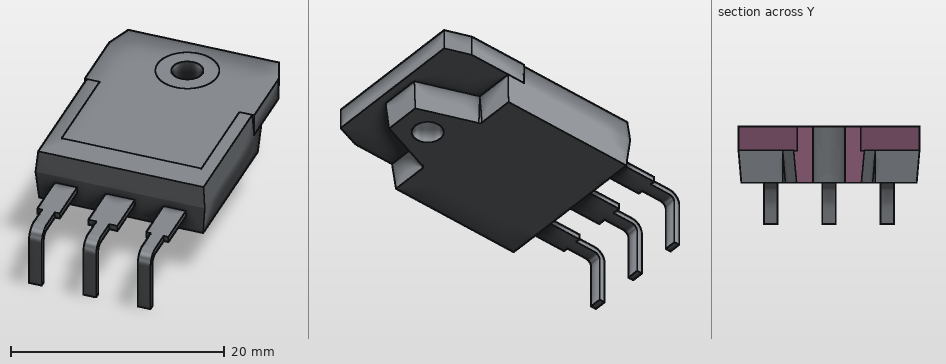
import cadquery as cq
import math


width = 17.0
tab_back = 22.0
tab_thickness = 2.25
corner_x = 0.93
corner_y = 2.6
tongue_half_width = 7.02
tongue_front = 3.0
shoulder_y = 13.0

hole_diameter = 3.0
sleeve_diameter = 6.0
hole_y = tab_back - 4.32

draft_angle = 5.0
base_depth = 3.05
base_back = 21.05
nose_root_half_width = 4.35
nose_back_half_width = 2.1
base_shoulder_y = 14.95

overall_height = 9.18
overall_length = 30.0
lead_pitch = 5.45
lead_thickness = 0.6
lead_top = -0.8
lead_narrow_width = 1.3
side_lead_width = 2.25
centre_lead_width = 2.9
lead_step_y = -4.53
bend_radius = 1.25
lead_tip = tab_thickness - overall_height
lead_front = tab_back - overall_length

half_width = width / 2


def make_tab():
    """Plate with clipped back corners and a narrower tongue at the front."""
    return (
        cq.Workplane("XY")
        .moveTo(-tongue_half_width, tongue_front)
        .lineTo(tongue_half_width, tongue_front)
        .lineTo(tongue_half_width, shoulder_y)
        .lineTo(half_width, shoulder_y)
        .lineTo(half_width, tab_back - corner_y)
        .lineTo(half_width - corner_x, tab_back)
        .lineTo(corner_x - half_width, tab_back)
        .lineTo(-half_width, tab_back - corner_y)
        .lineTo(-half_width, shoulder_y)
        .lineTo(-tongue_half_width, shoulder_y)
        .close()
        .extrude(tab_thickness)
        .cut(make_hole_cylinder(sleeve_diameter))
    )


def make_hole_cylinder(diameter):
    """Cylinder on the mounting hole axis, from the housing bottom to the tab top."""
    return (
        cq.Workplane("XY", origin=(0, hole_y, -base_depth))
        .circle(diameter / 2)
        .extrude(base_depth + tab_thickness)
    )


def make_base():
    """Drafted lower half of the housing, with a narrower tapering nose around the hole."""
    return (
        cq.Workplane("XY")
        .polyline([
            (-half_width, 0),
            (half_width, 0),
            (half_width, base_shoulder_y),
            (nose_root_half_width, base_shoulder_y),
            (nose_back_half_width, base_back),
            (-nose_back_half_width, base_back),
            (-nose_root_half_width, base_shoulder_y),
            (-half_width, base_shoulder_y),
        ])
        .close()
        .extrude(-base_depth, taper=draft_angle)
    )


def make_frame():
    """Drafted U-shaped rim that holds the tongue of the tab."""
    rim_inset = tab_thickness * math.tan(math.radians(draft_angle))
    profile = [
        (-half_width, 0),
        (half_width, 0),
        (half_width - rim_inset, tab_thickness),
        (rim_inset - half_width, tab_thickness),
    ]
    rim = cq.Workplane("XZ").polyline(profile).close().extrude(-shoulder_y)
    front_slope = (
        cq.Workplane("YZ")
        .polyline([(0, 0), (rim_inset, tab_thickness), (0, tab_thickness)])
        .close()
        .extrude(half_width, both=True)
    )
    return rim.cut(front_slope)


def make_housing(tab):
    """Base, rim and sleeve moulded as one piece around the tab."""
    sleeve = make_hole_cylinder(sleeve_diameter).intersect(
        cq.Workplane("XY").rect(width, 2 * tab_back).extrude(tab_thickness)
    )
    return (
        make_base()
        .union(make_frame().cut(tab))
        .union(sleeve)
        .cut(make_hole_cylinder(hole_diameter))
    )


def make_lead(x, wide_width, housing):
    """Flat lead bent down at the front, ending against the sloping housing face."""
    inner_radius = bend_radius - lead_thickness
    root_y = base_depth * math.tan(math.radians(draft_angle))
    lead_bottom = lead_top - lead_thickness
    bend_y = lead_front + bend_radius
    bend_z = lead_top - bend_radius
    diagonal = math.sqrt(0.5)
    bent_strip = (
        cq.Workplane("YZ", origin=(x, 0, 0))
        .moveTo(root_y, lead_top)
        .lineTo(bend_y, lead_top)
        .threePointArc(
            (bend_y - bend_radius * diagonal, bend_z + bend_radius * diagonal),
            (lead_front, bend_z),
        )
        .lineTo(lead_front, lead_tip)
        .lineTo(lead_front + lead_thickness, lead_tip)
        .lineTo(lead_front + lead_thickness, bend_z)
        .threePointArc(
            (bend_y - inner_radius * diagonal, bend_z + inner_radius * diagonal),
            (bend_y, lead_bottom),
        )
        .lineTo(root_y, lead_bottom)
        .close()
        .extrude(lead_narrow_width / 2, both=True)
    )
    wide_root = cq.Workplane("XY").box(
        wide_width, root_y - lead_step_y, lead_thickness, centered=(True, False, False)
    ).translate((x, lead_step_y, lead_bottom))
    return bent_strip.union(wide_root).cut(housing)


tab = make_tab()
housing = make_housing(tab)

leads = []
for position in (-1, 0, 1):
    wide_width = centre_lead_width if position == 0 else side_lead_width
    leads.append(make_lead(position * lead_pitch, wide_width, housing))

result = cq.Compound.makeCompound([housing.val(), tab.val(), *[lead.val() for lead in leads]])